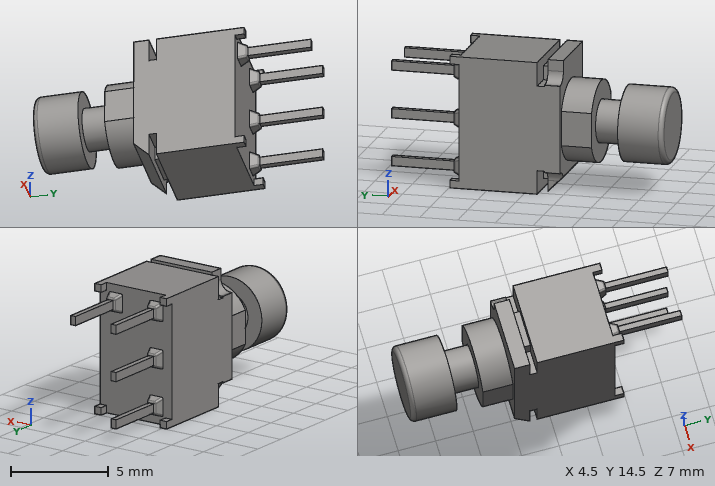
import cadquery as cq


HOUSING_WIDTH = 4.5
HOUSING_HEIGHT = 7.0
BACK_Y = 5.35

PLATE_THICKNESS = 0.81
GROOVE_WIDTH = 0.39
GROOVE_SIDE_DEPTH = 1.25
GROOVE_CENTRE_DEPTH = 0.51
GROOVE_CENTRE_WIDTH = 1.98
NOTCH_WIDTH = 0.7
NOTCH_DEPTH = 1.18
NOTCH_RADIUS = 0.6

FOOT_SIZE = 0.4
FOOT_LENGTH = 0.48

BUSHING_DIAMETER = 4.3
BUSHING_WIDTH_OVER_FLATS = 3.9
BUSHING_LENGTH = 1.6

BORE_DIAMETER = 2.3

STEM_DIAMETER = 2.25
STEM_EXPOSED_LENGTH = 1.4

CAP_DIAMETER = 4.0
CAP_LENGTH = 2.4
CAP_FILLET = 0.25

TERMINAL_PITCH = 2.55
TERMINAL_THICKNESS = 0.3
TERMINAL_WIDTH = 0.5
COLUMN_X = TERMINAL_PITCH / 2
TERMINAL_CENTRES = [
    (-COLUMN_X, -TERMINAL_PITCH),
    (-COLUMN_X, 0),
    (-COLUMN_X, TERMINAL_PITCH),
    (COLUMN_X, TERMINAL_PITCH),
]

BOSS_BASE_X = 0.85
BOSS_BASE_Z = 1.03
BOSS_TAPER = 20.0
BOSS_FILLET = 0.109

OVERALL_LENGTH = 14.53
STEM_LENGTH = BUSHING_LENGTH + STEM_EXPOSED_LENGTH
TERMINAL_END_Y = OVERALL_LENGTH - STEM_LENGTH - CAP_LENGTH


def box(size_x, size_z, start_y, end_y, x=0.0, z=0.0):
    """Box centred on (x, z) that runs from start_y to end_y."""
    return cq.Workplane("XY").box(size_x, end_y - start_y, size_z).translate((x, (start_y + end_y) / 2, z))


def plane_facing_front(y):
    """XZ workplane at the given Y; extruding from it goes towards -Y."""
    return cq.Workplane("XZ", origin=(0, y, 0))


def plane_facing_back(y):
    """Workplane at the given Y whose extrusions go towards +Y; its local axes are X and -Z."""
    return cq.Workplane(cq.Plane(origin=(0, y, 0), xDir=(1, 0, 0), normal=(0, 1, 0)))


def cut_grooves(body):
    groove_end = PLATE_THICKNESS + GROOVE_WIDTH
    side_width = (HOUSING_WIDTH - GROOVE_CENTRE_WIDTH) / 2
    for side in (-1, 1):
        centre_z = side * (HOUSING_HEIGHT - GROOVE_CENTRE_DEPTH) / 2
        body = body.cut(box(HOUSING_WIDTH, GROOVE_CENTRE_DEPTH, PLATE_THICKNESS, groove_end, z=centre_z))
        side_z = side * (HOUSING_HEIGHT - GROOVE_SIDE_DEPTH) / 2
        for end in (-1, 1):
            side_x = end * (HOUSING_WIDTH - side_width) / 2
            body = body.cut(box(side_width, GROOVE_SIDE_DEPTH, PLATE_THICKNESS, groove_end, side_x, side_z))
    return body


def cut_plate_notches(body):
    """Notch with one rounded inner corner at both -X corners of the front plate."""
    for side in (-1, 1):
        notch = box(
            NOTCH_WIDTH, NOTCH_DEPTH, 0, PLATE_THICKNESS,
            (NOTCH_WIDTH - HOUSING_WIDTH) / 2, side * (HOUSING_HEIGHT - NOTCH_DEPTH) / 2,
        )
        inner_corner = ">X and <Z" if side > 0 else ">X and >Z"
        body = body.cut(notch.edges("|Y").edges(inner_corner).fillet(NOTCH_RADIUS))
    return body


def cut_plate_bevel(body):
    """45-degree bevel that brings the bottom of the plate to a sharp rear edge."""
    bottom = -HOUSING_HEIGHT / 2
    bevel = (
        cq.Workplane("YZ", origin=(-HOUSING_WIDTH / 2, 0, 0))
        .moveTo(0, bottom)
        .lineTo(PLATE_THICKNESS, bottom)
        .lineTo(0, bottom + PLATE_THICKNESS)
        .close()
        .extrude(HOUSING_WIDTH)
    )
    return body.cut(bevel)


def add_feet(body):
    for side_x in (-1, 1):
        for side_z in (-1, 1):
            x = side_x * (HOUSING_WIDTH - FOOT_SIZE) / 2
            z = side_z * (HOUSING_HEIGHT - FOOT_SIZE) / 2
            body = body.union(box(FOOT_SIZE, FOOT_SIZE, BACK_Y, BACK_Y + FOOT_LENGTH, x, z))
    return body


def make_boss():
    boss = plane_facing_back(BACK_Y).rect(BOSS_BASE_X, BOSS_BASE_Z).extrude(FOOT_LENGTH, taper=BOSS_TAPER)
    return boss.edges("not <Y").fillet(BOSS_FILLET)


def add_bosses(body):
    """One boss per terminal, each with a slot through it that fits the terminal."""
    for x, z in TERMINAL_CENTRES:
        body = body.union(make_boss().translate((x, 0, z)))
        body = body.cut(make_terminal(x, z))
    return body


def add_bushing(body):
    """Bushing with two flats at its sides and a blind bore for the stem."""
    cylinder = plane_facing_front(0).circle(BUSHING_DIAMETER / 2).extrude(BUSHING_LENGTH)
    bushing = cylinder.intersect(box(BUSHING_WIDTH_OVER_FLATS, BUSHING_DIAMETER, -BUSHING_LENGTH, 0))
    bore = plane_facing_front(0).circle(BORE_DIAMETER / 2).extrude(BUSHING_LENGTH)
    return body.union(bushing.cut(bore))


def make_stem():
    return plane_facing_front(0).circle(STEM_DIAMETER / 2).extrude(STEM_LENGTH)


def make_cap():
    cap = plane_facing_front(-STEM_LENGTH).circle(CAP_DIAMETER / 2).extrude(CAP_LENGTH)
    return cap.faces("<Y").edges().fillet(CAP_FILLET)


def make_terminal(x, z):
    """Square-ended blade from the back face of the housing, through its boss."""
    return box(TERMINAL_THICKNESS, TERMINAL_WIDTH, BACK_Y, TERMINAL_END_Y, x, z)


def make_housing():
    body = box(HOUSING_WIDTH, HOUSING_HEIGHT, 0, BACK_Y)
    body = cut_grooves(body)
    body = cut_plate_notches(body)
    body = cut_plate_bevel(body)
    body = add_feet(body)
    body = add_bushing(body)
    return add_bosses(body)


housing = make_housing()
stem = make_stem()
cap = make_cap()
terminals = [make_terminal(x, z) for x, z in TERMINAL_CENTRES]

result = cq.Compound.makeCompound(
    [housing.val(), stem.val(), cap.val(), *[terminal.val() for terminal in terminals]]
)